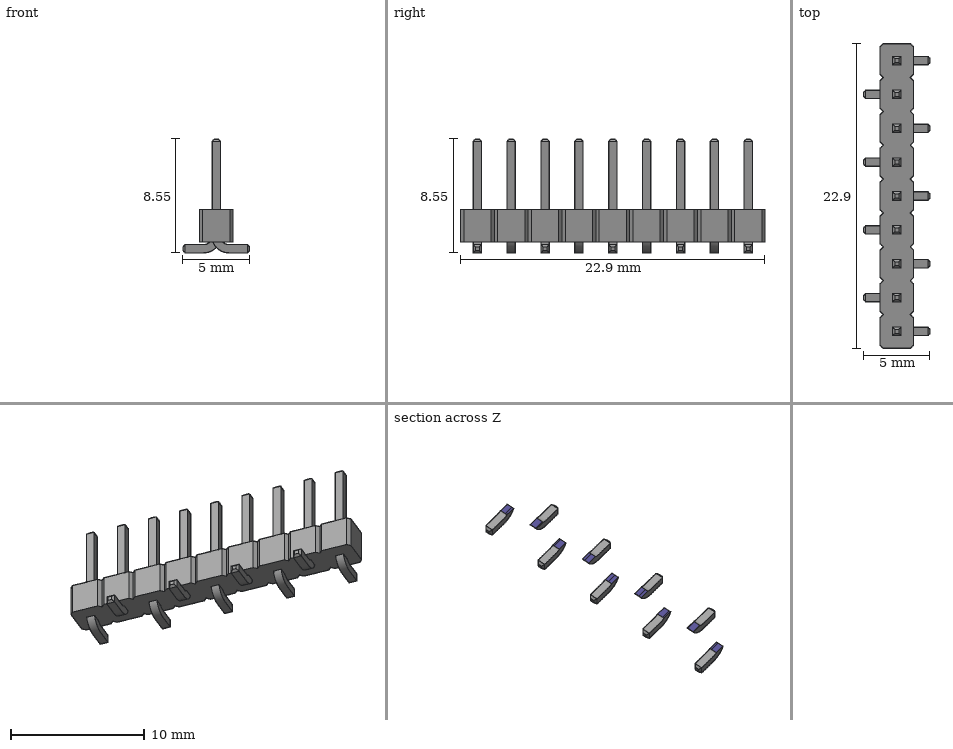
import cadquery as cq

PIN_COUNT = 9
HEADER_LENGTH = 22.85
SPAN_X = 5.0
HEIGHT = 8.55

PITCH = HEADER_LENGTH / PIN_COUNT

BODY_WIDTH = PITCH
BODY_BOTTOM = 0.82
BODY_HEIGHT = 2.45
CORNER_CUT = 0.25

WIRE = 0.65
TIP_BEVEL = 0.171
TIP_WIDTH = WIRE - 2 * TIP_BEVEL
BEND_INNER_RADIUS = 0.62
BEND_OUTER_RADIUS = BEND_INNER_RADIUS + WIRE


def body_cell(y):
    """One block of the body: a rectangle with its four corners cut."""
    half_x = BODY_WIDTH / 2
    half_y = PITCH / 2
    flat_x = half_x - CORNER_CUT
    flat_y = half_y - CORNER_CUT
    outline = [
        (half_x, -flat_y), (half_x, flat_y), (flat_x, half_y), (-flat_x, half_y),
        (-half_x, flat_y), (-half_x, -flat_y), (-flat_x, -half_y), (flat_x, -half_y),
    ]
    return (
        cq.Workplane("XY", origin=(0, y, BODY_BOTTOM))
        .polyline(outline).close()
        .extrude(BODY_HEIGHT)
    )


def tapered_tip(origin, direction):
    """Square pyramid frustum on the wire end at origin, pointing along direction."""
    end_plane = cq.Plane(origin=origin, xDir=(0, 1, 0), normal=direction)
    return (
        cq.Workplane(end_plane).rect(WIRE, WIRE)
        .workplane(offset=TIP_BEVEL).rect(TIP_WIDTH, TIP_WIDTH)
        .loft()
    )


def bent_pin():
    """Pin at Y = 0: upright wire bent below the body into a leg along +X."""
    half = WIRE / 2
    leg_end = SPAN_X / 2 - TIP_BEVEL
    shaft_top = HEIGHT - TIP_BEVEL
    bend_x = half + BEND_INNER_RADIUS
    bend_z = BEND_OUTER_RADIUS

    wire = (
        cq.Workplane("XZ", origin=(0, half, 0))
        .moveTo(-half, shaft_top)
        .lineTo(-half, bend_z)
        .radiusArc((bend_x, 0), -BEND_OUTER_RADIUS)
        .lineTo(leg_end, 0)
        .lineTo(leg_end, WIRE)
        .lineTo(bend_x, WIRE)
        .radiusArc((half, bend_z), BEND_INNER_RADIUS)
        .lineTo(half, shaft_top)
        .close()
        .extrude(WIRE)
    )
    top_tip = tapered_tip((0, 0, shaft_top), (0, 0, 1))
    leg_tip = tapered_tip((leg_end, 0, half), (1, 0, 0))
    return wire.union(top_tip).union(leg_tip)


right_pin = bent_pin()
left_pin = right_pin.rotate((0, 0, 0), (0, 0, 1), 180)
positions = [(i - (PIN_COUNT - 1) / 2) * PITCH for i in range(PIN_COUNT)]

body = body_cell(positions[0])
for y in positions[1:]:
    body = body.union(body_cell(y))

result = body
for i, y in enumerate(positions):
    pin = right_pin if i % 2 == 0 else left_pin
    result = result.union(pin.translate((0, y, 0)))